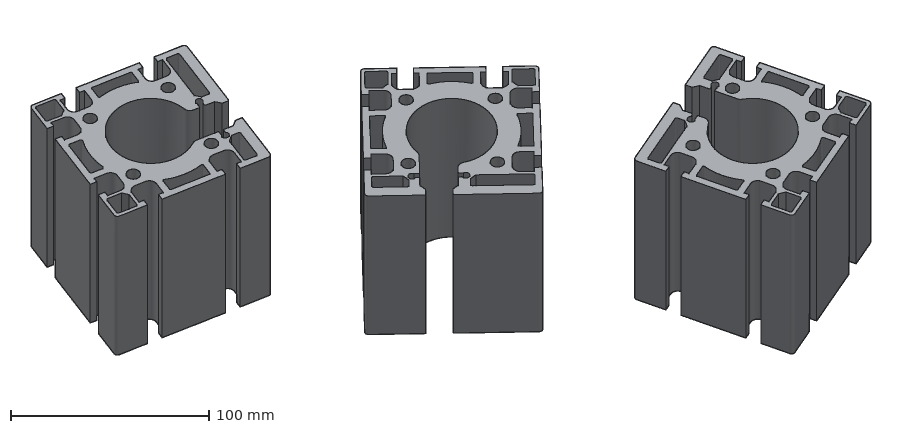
import cadquery as cq
import math

side = 90.0
length = 100.0
half = side / 2
outer_radius = 2.0

bore_radius = 23.0
ring_radius = 35.0

slot_offset = 22.5
slot_opening = 8.4
slot_width = 14.0
slot_depth = 15.0
slot_corner_radius = 4.0
lip_thickness = 3.8
hole_diameter = 7.2

thin_wall = 1.8
corner_wall = 2.0
front_wall = 6.0
pocket_chamfer = 2.8
pocket_radius = 1.0
side_pocket_width = 23.2
side_pocket_radius = 0.6
top_pocket_left_end = -8.6
top_pocket_right_start = 22.5

opening_center = 7.2
throat_width = 13.8
opening_width = 19.4
throat_depth = 4.0
throat_flare = (opening_width - throat_width) / 2
throat_radius = 0.8
bore_blend_radius = 4.0

groove_diameter = 4.0
groove_offset = 13.6
groove_y = 31.5
neck_bottom = 29.8
neck_top = 32.5
neck_upper_left_radius = 1.0
neck_upper_right_radius = 0.5
neck_lower_radius = 0.5
neck_inner_radius = 0.8

opening_left = opening_center - opening_width / 2
opening_right = opening_center + opening_width / 2


def block(x_min, x_max, y_min, y_max):
    """Full-length rectangular prism between the given limits."""
    return (
        cq.Workplane("XY")
        .center((x_min + x_max) / 2, (y_min + y_max) / 2)
        .rect(x_max - x_min, y_max - y_min)
        .extrude(length)
    )


def cylinder(x, y, radius):
    """Full-length cylinder about the given axis."""
    return cq.Workplane("XY").center(x, y).circle(radius).extrude(length)


def upright_edge(body, x, y):
    """Lengthwise edge nearest to the given profile point."""
    return body.edges("|Z").edges(cq.selectors.NearestToPointSelector((x, y, length / 2)))


def turned(body, angle):
    """Copy turned about the profile axis."""
    return body.rotate((0, 0, 0), (0, 0, 1), angle)


def t_slot(offset):
    """T-slot that opens on the -Y face."""
    floor = -half + slot_depth
    chamber = block(offset - slot_width / 2, offset + slot_width / 2, -half + lip_thickness, floor)
    chamber = chamber.edges("|Z and >Y").fillet(slot_corner_radius)
    mouth = block(offset - slot_opening / 2, offset + slot_opening / 2, -half, -half + lip_thickness)
    return chamber.union(mouth)


def ring_pocket(corner_radius):
    """Pocket between the -Y wall and the ring around the bore."""
    width = side_pocket_width / 2
    pocket = block(-width, width, -half + lip_thickness, 0).cut(cylinder(0, 0, ring_radius))
    return pocket.edges("|Z").fillet(corner_radius)


def chamfered_pocket(x_min, x_max, y_min, y_max, cut_x, cut_y):
    """Rectangular pocket with its corner at (cut_x, cut_y) cut off and the other three rounded."""
    pocket = block(x_min, x_max, y_min, y_max)
    for x in (x_min, x_max):
        for y in (y_min, y_max):
            if (x, y) == (cut_x, cut_y):
                pocket = upright_edge(pocket, x, y).chamfer(pocket_chamfer)
            else:
                pocket = upright_edge(pocket, x, y).fillet(pocket_radius)
    return pocket


def side_opening():
    """Channel from the +Y face into the bore, narrower at its throat."""
    throat = throat_width / 2
    wide = opening_width / 2
    shoulder = half - throat_depth
    return (
        cq.Workplane("XY")
        .center(opening_center, 0)
        .moveTo(-throat, half)
        .lineTo(-throat, shoulder)
        .lineTo(-wide, shoulder - throat_flare)
        .lineTo(-wide, 0)
        .lineTo(wide, 0)
        .lineTo(wide, shoulder - throat_flare)
        .lineTo(throat, shoulder)
        .lineTo(throat, half)
        .close()
        .extrude(length)
    )


body = block(-half, half, -half, half).edges("|Z").fillet(outer_radius)

for offset in (-slot_offset, slot_offset):
    for angle in (-90, 0, 90):
        body = body.cut(turned(t_slot(offset), angle))

body = body.cut(ring_pocket(pocket_radius))
for angle in (-90, 90):
    body = body.cut(turned(ring_pocket(side_pocket_radius), angle))

inner = slot_offset + slot_width / 2 + thin_wall
outer = half - corner_wall
body = body.cut(chamfered_pocket(-outer, -inner, -outer, -inner, -inner, -inner))
body = body.cut(chamfered_pocket(inner, outer, -outer, -inner, inner, -inner))

end = half - lip_thickness
top = half - front_wall
left = top_pocket_left_end
right = top_pocket_right_start
body = body.cut(chamfered_pocket(-end, left, inner, top, left, inner))
body = body.cut(chamfered_pocket(right, end, inner, top, right, inner))

for x in (-slot_offset, slot_offset):
    for y in (-slot_offset, slot_offset):
        body = body.cut(cylinder(x, y, hole_diameter / 2))

body = body.cut(cylinder(0, 0, bore_radius)).cut(side_opening())
groove_left = opening_center - groove_offset
groove_right = opening_center + groove_offset
body = body.cut(block(groove_left, groove_right, neck_bottom, neck_top))
for x in (groove_left, groove_right):
    body = body.cut(cylinder(x, groove_y, groove_diameter / 2))

neck_end = math.sqrt((groove_diameter / 2) ** 2 - (neck_top - groove_y) ** 2)
for x in (groove_left + neck_end, groove_right - neck_end):
    body = upright_edge(body, x, neck_top).fillet(neck_inner_radius)

body = upright_edge(body, opening_center - throat_width / 2, half).fillet(throat_radius)
body = upright_edge(body, opening_left, neck_top).fillet(neck_upper_left_radius)
body = upright_edge(body, opening_left, neck_bottom).fillet(neck_lower_radius)
body = upright_edge(body, opening_right, neck_top).fillet(neck_upper_right_radius)

for x in (opening_left, opening_right):
    bore_edge_y = math.sqrt(bore_radius**2 - x**2)
    body = upright_edge(body, x, bore_edge_y).fillet(bore_blend_radius)

result = body